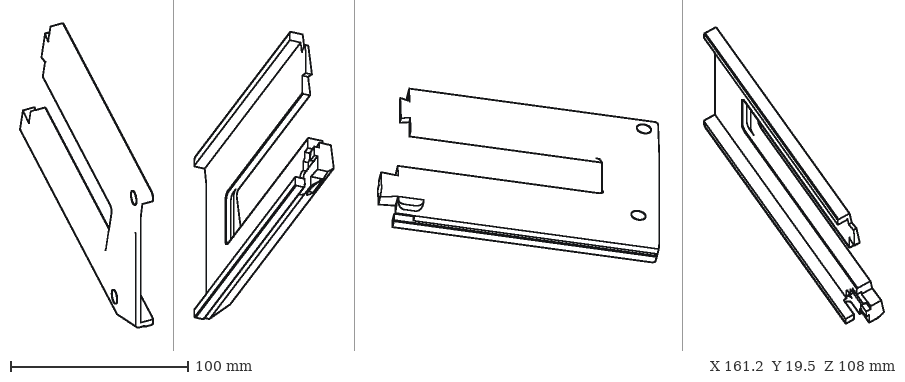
import cadquery as cq

LENGTH = 161.2
DEPTH = 19.5
HEIGHT = 108.0

KEEL_Z = 10.3
FRONT_TOP_Y = 11.6
BACK_Y = 12.0
UNDERCUT_Y = 10.0
UNDERCUT_Z = 2.1
FLANGE_THICKNESS = 5.8
FLANGE_FRONT_Y = 13.9
SKIN_TOP_Y = 12.9
SKIN_BEND_Z = 91.9
FRONT_FILLET = 0.5
EDGE_CHAMFER = 0.5

SIDE_BEVEL_X = 6.0
SIDE_BEVEL_Y = 8.7
BEVEL_BLEND_RADIUS = 2.0
CORNER_RADIUS = 2.3

UPPER_ARM_X = 18.0
LOWER_ARM_X = 9.8
SLOT_END_X = 128.2
SLOT_BOTTOM_Z = 33.9
SLOT_TOP_Z = 68.2
SLOT_RADIUS = 3.2
SLOT_REBATE_DEPTH = 4.0
SLOT_REBATE_Y = 8.7

UPPER_TAB_X = 12.7
UPPER_TAB_END_Z = (78.8, 97.7)
UPPER_TAB_ROOT_Z = (80.3, 96.1)
LOWER_TAB_X = 0.0
LOWER_TAB_END_Z = (7.3, 25.5)
LOWER_TAB_ROOT_Z = (8.2, 24.5)

LATCH_FLOOR_Y = 8.9
LATCH_TOP_Z = 27.0
LATCH_END_X = 14.5
LATCH_UNDERCUT = 2.4
LATCH_LIP_RADIUS = 1.6
HOOK_LENGTH = 5.8
HOOK_TOP_Z = 22.1
HOOK_RADIUS = 2.3

RELIEF_TOP_Z = 16.1
RELIEF_END_X = 21.0
RELIEF_RADIUS = 2.0
RELIEF_SLOT_RADIUS = 2.7

POCKET_X = (10.5, 24.8)
POCKET_BACK_Y = 7.9
POCKET_TOP_Z = 8.2
POCKET_RADIUS = 4.0

SEAT_DIAMETER = 8.2
SEAT_DEPTH = 0.3
SEAT_CENTERS = [(152.8, 100.0), (147.8, 17.9)]


def box(x_range, y_range, z_range):
    """Axis-aligned box between the given limits."""
    size = [high - low for low, high in (x_range, y_range, z_range)]
    corner = (x_range[0], y_range[0], z_range[0])
    return cq.Workplane("XY").box(*size, centered=False).translate(corner)


def front_prism(points):
    """Prism with an XZ outline running through the full depth."""
    return cq.Workplane("XZ").polyline(points).close().extrude(-DEPTH)


def front_y(z):
    """Y of the leaning front face at height z."""
    return FRONT_TOP_Y * (z - KEEL_Z) / (HEIGHT - KEEL_Z)


def wedge():
    """Full-length bar with the flanged wedge section."""
    upper_flange_z = HEIGHT - FLANGE_THICKNESS
    section = [
        (0, KEEL_Z),
        (FRONT_TOP_Y, HEIGHT),
        (DEPTH, HEIGHT),
        (DEPTH, upper_flange_z),
        (SKIN_TOP_Y, upper_flange_z),
        (BACK_Y, SKIN_BEND_Z),
        (BACK_Y, FLANGE_THICKNESS),
        (DEPTH, FLANGE_THICKNESS),
        (DEPTH, 0),
        (FLANGE_FRONT_Y, 0),
        (FLANGE_FRONT_Y, UNDERCUT_Z),
        (UNDERCUT_Y, UNDERCUT_Z),
    ]
    return cq.Workplane("YZ").polyline(section).close().extrude(LENGTH)


def beveled_block():
    """Block bounded by the underside slant and the right-hand bevel, blended where these meet."""
    reach = 2 * DEPTH
    side_x = LENGTH - SIDE_BEVEL_X
    side_end_x = side_x + reach * SIDE_BEVEL_X / SIDE_BEVEL_Y
    keel_end_z = KEEL_Z - reach * (KEEL_Z - UNDERCUT_Z) / UNDERCUT_Y
    keel_outline = [(0, KEEL_Z), (0, HEIGHT), (reach, HEIGHT), (reach, keel_end_z)]
    side_outline = [(0, 0), (side_x, 0), (side_end_x, reach), (0, reach)]
    keel_prism = cq.Workplane("YZ").polyline(keel_outline).close().extrude(side_end_x)
    side_prism = cq.Workplane("XY", origin=(0, 0, keel_end_z)).polyline(side_outline).close()
    block = keel_prism.intersect(side_prism.extrude(HEIGHT - keel_end_z))
    return block.edges("(not #X) and (not #Y) and (not #Z)").fillet(BEVEL_BLEND_RADIUS)


def envelope():
    """Outer limits of the part: rounded right-hand corners, broken rear edges and front bevels."""
    outline = box((0, LENGTH), (0, DEPTH), (0, HEIGHT))
    outline = outline.edges("|Y and >X").fillet(CORNER_RADIUS)
    outline = outline.faces(">Y").edges("not <X").chamfer(EDGE_CHAMFER)
    return outline.intersect(beveled_block())


def tab(end_x, root_x, end_z, root_z):
    """Dovetail outline reaching from an arm out to end_x."""
    return front_prism([(end_x, end_z[0]), (root_x, root_z[0]), (root_x, root_z[1]), (end_x, end_z[1])])


def arm_ends():
    """Material removed left of the two arms, leaving their tabs."""
    upper = box((0, UPPER_ARM_X), (0, DEPTH), (SLOT_TOP_Z, HEIGHT))
    upper = upper.cut(tab(UPPER_TAB_X, UPPER_ARM_X, UPPER_TAB_END_Z, UPPER_TAB_ROOT_Z))
    lower = box((0, LOWER_ARM_X), (0, DEPTH), (0, SLOT_BOTTOM_Z))
    lower_tab = tab(LOWER_TAB_X, LOWER_ARM_X, LOWER_TAB_END_Z, LOWER_TAB_ROOT_Z)
    return upper.union(lower.cut(lower_tab))


def slot():
    """Opening between the arms, rounded at its closed end."""
    heights = (SLOT_BOTTOM_Z, SLOT_TOP_Z)
    opening = box((0, SLOT_END_X), (0, DEPTH), heights)
    rebate = box((0, SLOT_END_X + SLOT_REBATE_DEPTH), (SLOT_REBATE_Y, DEPTH), heights)
    opening, rebate = [part.edges("|Y and >X").fillet(SLOT_RADIUS) for part in (opening, rebate)]
    return opening.union(rebate)


def latch_recess():
    """Recess behind the lower tab, around its hook."""
    outline = [
        (0, RELIEF_TOP_Z),
        (LATCH_END_X + LATCH_UNDERCUT, RELIEF_TOP_Z),
        (LATCH_END_X + LATCH_UNDERCUT, HOOK_TOP_Z),
        (LATCH_END_X, HOOK_TOP_Z),
        (LATCH_END_X, LATCH_TOP_Z),
        (0, LATCH_TOP_Z),
    ]
    recess = front_prism(outline).intersect(box((0, LENGTH), (LATCH_FLOOR_Y, BACK_Y), (0, HEIGHT)))
    lip = cq.selectors.BoxSelector(
        (LATCH_END_X - LATCH_LIP_RADIUS, 0, HOOK_TOP_Z - LATCH_LIP_RADIUS),
        (LATCH_END_X + LATCH_LIP_RADIUS, DEPTH, HOOK_TOP_Z + LATCH_LIP_RADIUS),
    )
    recess = recess.edges("|Y").edges(lip).fillet(LATCH_LIP_RADIUS)
    hook = box((0, HOOK_LENGTH), (LATCH_FLOOR_Y, BACK_Y), (RELIEF_TOP_Z, HOOK_TOP_Z))
    return recess.cut(hook.edges(">X and >Z").fillet(HOOK_RADIUS))


def root_relief():
    """Relief behind the lower tab and arm root, open below between plate and flange."""
    upper = box((0, RELIEF_END_X), (UNDERCUT_Y, BACK_Y), (POCKET_TOP_Z, RELIEF_TOP_Z))
    upper = upper.edges(">X and >Z").fillet(RELIEF_RADIUS)
    slot_center_x = RELIEF_END_X - RELIEF_SLOT_RADIUS
    heights = (0, POCKET_TOP_Z)
    lower = box((0, slot_center_x), (UNDERCUT_Y, FLANGE_FRONT_Y), heights)
    rounded_end = (
        cq.Workplane("XY")
        .center(slot_center_x, UNDERCUT_Y + RELIEF_SLOT_RADIUS)
        .circle(RELIEF_SLOT_RADIUS)
        .extrude(POCKET_TOP_Z)
        .intersect(box((0, LENGTH), (UNDERCUT_Y, FLANGE_FRONT_Y), heights))
    )
    lower = lower.union(rounded_end)
    return upper.union(lower)


def finger_pocket():
    """Round-cornered pocket cut up into the slanted underside."""
    pocket = box(POCKET_X, (-POCKET_RADIUS, POCKET_BACK_Y), (0, POCKET_TOP_Z))
    return pocket.edges("|Z and >Y").fillet(POCKET_RADIUS)


def seat(x, z):
    """Shallow round seat, square to the leaning front face."""
    face = cq.Plane(
        origin=(x, front_y(z), z),
        xDir=(1, 0, 0),
        normal=(0, KEEL_Z - HEIGHT, FRONT_TOP_Y),
    )
    return cq.Workplane(face).circle(SEAT_DIAMETER / 2).extrude(-SEAT_DEPTH)


def round_front_edges(body):
    """Round every edge of the leaning front face except its left-hand end."""
    leaning_out = cq.Vector(0, KEEL_Z - HEIGHT, FRONT_TOP_Y)
    front_edges = body.faces(cq.selectors.DirectionMinMaxSelector(leaning_out)).edges("not <X")
    return front_edges.fillet(FRONT_FILLET)


def break_slot_rear(body):
    """Chamfer the rear rim of the slot."""
    rim = cq.selectors.BoxSelector(
        (0, BACK_Y - EDGE_CHAMFER, SLOT_BOTTOM_Z - EDGE_CHAMFER),
        (LENGTH - SIDE_BEVEL_X, BACK_Y + EDGE_CHAMFER, SLOT_TOP_Z + EDGE_CHAMFER),
    )
    return body.edges(rim).edges("not <X").chamfer(EDGE_CHAMFER)


def break_foot(body):
    """Chamfer the front edge of the foot that the lower flange stands on."""
    return body.faces("<Z").edges("<Y").chamfer(EDGE_CHAMFER)


body = wedge().intersect(envelope()).cut(slot())
body = break_foot(break_slot_rear(round_front_edges(body)))
body = body.cut(arm_ends()).cut(latch_recess()).cut(root_relief()).cut(finger_pocket())
for seat_x, seat_z in SEAT_CENTERS:
    body = body.cut(seat(seat_x, seat_z))

result = body